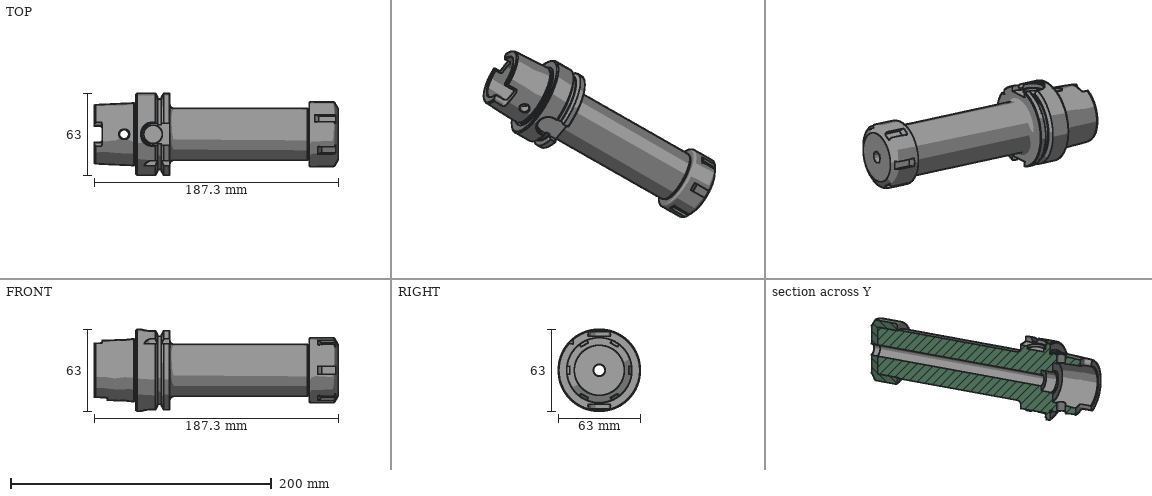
import cadquery as cq
import math


total_length = 187.28
shank_length = 32.0
nose_x = total_length - shank_length
coolant_radius = 4.4

shank_end_radius = 22.7
shank_root_radius = 24.05
shank_rim_chamfer = 1.2
relief_width = 1.8
relief_depth = 0.9
face_recess_radius = 25.2
face_recess_depth = 0.5
cavity_radius = 17.3
cavity_mouth_chamfer = 0.6
cavity_step_depth = 13.6
cavity_floor_radius = 15.6
cavity_floor_x = -2.0
tube_bore_radius = 8.2
tube_bore_chamfer = 1.0
tube_bore_depth = 10.0
cross_hole_x = -9.1
cross_hole_radius = 3.6
cross_hole_rim_radius = 4.2

drive_slot_width = 12.6
drive_slot_mouth_radius = 3.0
drive_slot_corner = 1.5
drive_slot_mouth_z = 20.8
top_slot_depth = 6.0
bottom_slot_depth = 10.0

flange_radius = 31.5
flange_width = 26.0
flange_chamfer = 1.0
flange_rear_chamfer = 0.5
groove_x = 18.13
groove_bottom_radius = 27.2
groove_mouth_width = 6.6
groove_throat_radius = 28.5
groove_throat_width = 2.9
fillet_to_neck = 3.0

gripper_slot_width = 17.0
gripper_slot_floor_z = 26.2
gripper_slot_center_x = 13.1
gripper_slot_rim_chamfer = 0.9
chip_recess_radius = 7.1
chip_recess_depth = 2.2

notch_offset = 20.15
notch_cutter_radius = 7.0
notch_center_x = 12.6

neck_radius = 20.0
neck_end_x = 132.0
neck_end_chamfer = 0.6
spigot_radius = neck_radius - neck_end_chamfer
spigot_end_x = 150.0

nut_radius = 25.0
nut_start_x = 132.8
nut_rear_fillet = 1.6
nut_cylinder_end_x = 152.0
nut_face_radius = 19.2
nut_front_fillet = 2.0
nut_slot_count = 6
nut_slot_width = 6.3
nut_slot_depth = 2.5
nut_slot_start_x = 139.3
long_nut_slot_start_x = 137.0
nut_slot_runout = 3.2


def revolve_about_x(points):
    """Solid of revolution from (X, radius) points."""
    profile = cq.Workplane("XY").polyline(points).close()
    return profile.revolve(360, (0, 0, 0), (1, 0, 0))


def cylinder_along_x(start_x, end_x, radius):
    return cq.Workplane("YZ", origin=(start_x, 0, 0)).circle(radius).extrude(end_x - start_x)


def make_outer_form():
    """Turned outside of the body, from the shank rim to the end of the spigot."""
    half_mouth = groove_mouth_width / 2
    half_throat = groove_throat_width / 2
    profile = (
        cq.Workplane("XY")
        .moveTo(-shank_length, 0)
        .lineTo(-shank_length, shank_end_radius - shank_rim_chamfer / 2)
        .lineTo(-shank_length + shank_rim_chamfer, shank_end_radius)
        .lineTo(-relief_width, shank_root_radius)
        .lineTo(-relief_width + relief_depth, shank_root_radius - relief_depth)
        .lineTo(face_recess_depth, shank_root_radius - relief_depth)
        .lineTo(face_recess_depth, face_recess_radius)
        .lineTo(0, face_recess_radius)
        .lineTo(0, flange_radius - flange_chamfer)
        .lineTo(flange_chamfer, flange_radius)
        .lineTo(groove_x - half_mouth, flange_radius)
        .lineTo(groove_x - half_throat, groove_throat_radius)
        .lineTo(groove_x - half_throat, groove_bottom_radius)
        .lineTo(groove_x + half_throat, groove_bottom_radius)
        .lineTo(groove_x + half_throat, groove_throat_radius)
        .lineTo(groove_x + half_mouth, flange_radius)
        .lineTo(flange_width - flange_rear_chamfer, flange_radius)
        .lineTo(flange_width, flange_radius - flange_rear_chamfer)
        .lineTo(flange_width, neck_radius + fillet_to_neck)
        .radiusArc((flange_width + fillet_to_neck, neck_radius), -fillet_to_neck)
        .lineTo(neck_end_x - neck_end_chamfer, neck_radius)
        .lineTo(neck_end_x, spigot_radius)
        .lineTo(spigot_end_x, spigot_radius)
        .lineTo(spigot_end_x, 0)
        .close()
    )
    return profile.revolve(360, (0, 0, 0), (1, 0, 0))


def make_bore():
    """Clamping cavity, coolant tube bore and the through hole behind them."""
    mouth_x = -shank_length
    step_x = mouth_x + cavity_step_depth
    tube_bore_end_x = cavity_floor_x + tube_bore_depth
    return revolve_about_x([
        (mouth_x, 0),
        (mouth_x, cavity_radius + cavity_mouth_chamfer),
        (mouth_x + cavity_mouth_chamfer, cavity_radius),
        (step_x, cavity_radius),
        (cavity_floor_x, cavity_floor_radius),
        (cavity_floor_x, tube_bore_radius + tube_bore_chamfer),
        (cavity_floor_x + tube_bore_chamfer, tube_bore_radius),
        (tube_bore_end_x, tube_bore_radius),
        (tube_bore_end_x, coolant_radius),
        (spigot_end_x, coolant_radius),
        (spigot_end_x, 0),
    ])


def make_cross_hole():
    """Hole along Z through both shank walls, with countersunk rims."""
    sink_depth = cross_hole_rim_radius - cross_hole_radius
    sink_top_z = shank_root_radius + (shank_root_radius - shank_end_radius) * cross_hole_x / shank_length
    top_z = shank_root_radius + sink_depth
    profile = (
        cq.Workplane("XZ", origin=(cross_hole_x, 0, 0))
        .polyline([
            (0, -top_z),
            (cross_hole_rim_radius, -top_z),
            (cross_hole_rim_radius, -sink_top_z),
            (cross_hole_radius, sink_depth - sink_top_z),
            (cross_hole_radius, sink_top_z - sink_depth),
            (cross_hole_rim_radius, sink_top_z),
            (cross_hole_rim_radius, top_z),
            (0, top_z),
        ])
        .close()
    )
    return profile.revolve(360, (0, 0, 0), (0, 1, 0))


def make_drive_slot(depth):
    """Slot into the shank rim at +Z whose side walls round outward to a wide mouth."""
    half = drive_slot_width / 2
    mouth_half = half + drive_slot_mouth_radius
    arc_start_z = drive_slot_mouth_z - drive_slot_mouth_radius
    slot = (
        cq.Workplane("YZ", origin=(-shank_length, 0, 0))
        .moveTo(-half, 0)
        .lineTo(-half, arc_start_z)
        .radiusArc((-mouth_half, drive_slot_mouth_z), -drive_slot_mouth_radius)
        .lineTo(-mouth_half, shank_root_radius)
        .lineTo(mouth_half, shank_root_radius)
        .lineTo(mouth_half, drive_slot_mouth_z)
        .radiusArc((half, arc_start_z), -drive_slot_mouth_radius)
        .lineTo(half, 0)
        .close()
        .extrude(depth)
    )
    return slot.faces(">X").edges("not |Y").edges("not (<Z or >Z)").fillet(drive_slot_corner)


def make_gripper_slot():
    """Flat-floored slot at +Z, open to the rear, with a round chamfered front end."""
    half = gripper_slot_width / 2
    height = flange_radius - gripper_slot_floor_z
    run = flange_width - gripper_slot_center_x
    floor = cq.Workplane("XY", origin=(0, 0, gripper_slot_floor_z))
    straight = floor.center(gripper_slot_center_x + run / 2, 0).rect(run, gripper_slot_width).extrude(height)
    round_end = floor.center(gripper_slot_center_x, 0).circle(half).extrude(height)
    wall_top_z = math.sqrt(flange_radius**2 - half**2)
    rim_half = half + gripper_slot_rim_chamfer
    rim = (
        cq.Workplane("XZ", origin=(gripper_slot_center_x, 0, 0))
        .moveTo(0, wall_top_z - gripper_slot_rim_chamfer)
        .lineTo(half, wall_top_z - gripper_slot_rim_chamfer)
        .lineTo(rim_half, wall_top_z)
        .lineTo(rim_half, flange_radius)
        .lineTo(0, flange_radius)
        .close()
        .revolve(360, (0, 0, 0), (0, 1, 0))
    )
    return straight.union(round_end).union(rim)


def make_chip_recess():
    return (
        cq.Workplane("XY", origin=(gripper_slot_center_x, 0, gripper_slot_floor_z - chip_recess_depth))
        .circle(chip_recess_radius)
        .extrude(chip_recess_depth)
    )


def make_orientation_notch():
    """Square-cornered notch at -Y +Z, open to the rear, with a round milled end."""
    depth = flange_radius - notch_offset
    run = flange_width - notch_center_x
    floor = cq.Workplane("XY", origin=(notch_center_x, -notch_offset, notch_offset))
    straight = floor.rect(run, -depth, centered=False).extrude(depth)
    round_end = floor.center(0, -notch_cutter_radius).circle(notch_cutter_radius).extrude(depth)
    return straight.union(round_end)


def make_body():
    body = make_outer_form().cut(make_bore()).cut(make_cross_hole())
    body = body.cut(make_drive_slot(top_slot_depth))
    body = body.cut(make_drive_slot(bottom_slot_depth).rotate((0, 0, 0), (1, 0, 0), 180))
    for side in (0, 180):
        body = body.cut(make_gripper_slot().rotate((0, 0, 0), (1, 0, 0), side))
    return body.cut(make_chip_recess()).cut(make_orientation_notch())


def make_nut_slot(start_x):
    """Wrench slot at -Y with a sloped run-out at its rear end."""
    floor_radius = nut_radius - nut_slot_depth
    open_side_y = -2 * nut_radius
    return (
        cq.Workplane("XY", origin=(0, 0, -nut_slot_width / 2))
        .moveTo(start_x, open_side_y)
        .lineTo(start_x, -nut_radius)
        .lineTo(start_x + nut_slot_runout, -floor_radius)
        .lineTo(nose_x, -floor_radius)
        .lineTo(nose_x, open_side_y)
        .close()
        .extrude(nut_slot_width)
    )


def make_nut():
    nut = revolve_about_x([
        (nut_start_x, 0),
        (nut_start_x, nut_radius),
        (nut_cylinder_end_x, nut_radius),
        (nose_x, nut_face_radius),
        (nose_x, 0),
    ])
    nut = nut.faces("%CYLINDER").edges(">X").fillet(nut_front_fillet)
    nut = nut.faces("<X").edges().fillet(nut_rear_fillet)
    nut = nut.cut(cylinder_along_x(nut_start_x, spigot_end_x, spigot_radius))
    nut = nut.cut(cylinder_along_x(spigot_end_x, nose_x, coolant_radius))
    for index in range(nut_slot_count):
        angle = index * 360 / nut_slot_count
        on_far_side = math.cos(math.radians(angle)) < 0
        start_x = long_nut_slot_start_x if on_far_side else nut_slot_start_x
        nut = nut.cut(make_nut_slot(start_x).rotate((0, 0, 0), (1, 0, 0), angle))
    return nut


body = make_body()
nut = make_nut()

result = cq.Compound.makeCompound([body.val(), nut.val()])